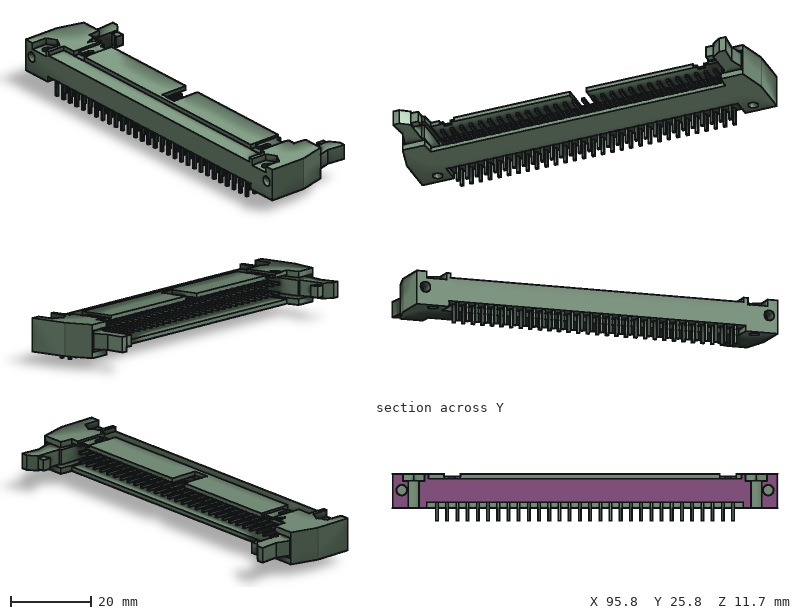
import cadquery as cq


length = 95.8
half_length = length / 2
height = 8.5
mid_height = height / 2
box_back = 13.8
wall = 1.15

ear_back = 17.2
ear_taper_start = 10.1
ear_taper = 1.9
ear_inner_top = 7.9
ear_inner_root = 8.1

column_count = 30
row_length = 73.7
pitch = row_length / (column_count - 1)
row_offset = pitch / 2
pin_size = 0.64
leg_length = 3.2
front_leg_y = 1.0
mating_pin_end = 13.6
pin_root_y = 5.75

cavity_floor = 7.5
cavity_end_inset = ear_inner_root
slot_end_inset = 2.4
slot_height = 5.5

step_half_length = 38.9
step_width = 4.9
step_depth = wall
relief_half_length = 39.4
relief_height = 1.4

key_width = 4.5
key_front = 6.2

groove_centre = pitch / 2
groove_span_columns = 27
groove_spacing = groove_span_columns * pitch
groove_width = 4.0
groove_depth = 0.6
groove_front_depth = 1.2
groove_step_y = 6.5
window_width = 1.4
window_back = 9.5
notch_width = 1.9
notch_length = 1.15

hole_diameter = 2.6
mount_inset = 5.3
mount_y = 2.7
pocket_width = 5.3
pocket_side_length = 4.4
pocket_length = 5.8
pocket_depth = 1.7
edge_hole_inset = 2.3
edge_hole_z = 4.5
edge_hole_depth = 4.8

mark_x = -row_length / 2
mark_width = 2.3
mark_back = 13.6
mark_length = 2.7
mark_depth = 0.3

latch_thickness = 3.9
latch_tip_y = 25.8
latch_bend_y = 20.8
latch_inner = 7.0
latch_tip_outer = 3.0
latch_tip_inner = 4.7
latch_bend_outer = 3.45
latch_root_outer = 2.4
latch_shoulder_inner = 7.7
latch_shoulder_y = 17.0
latch_root_y = 6.7
hook_height = 2.9
hook_reach = 9.0
hook_back = 24.0
hook_front = 22.1
hook_lip_front = 21.8
hook_lip_start = 8.4


def block(x_min, x_max, y_min, y_max, z_min, z_max):
    """Axis-aligned box between the given limits."""
    size = (x_max - x_min, y_max - y_min, z_max - z_min)
    return cq.Workplane("XY").box(*size, centered=False).translate((x_min, y_min, z_min))


def prism(points, z_min, z_max):
    """Upright prism on a closed outline."""
    return cq.Workplane("XY").workplane(offset=z_min).polyline(points).close().extrude(z_max - z_min)


def end_prism(points, z_min, z_max):
    """Left-end prism whose outline is given as (distance from the end, y)."""
    return prism([(inset - half_length, y) for inset, y in points], z_min, z_max)


def both_ends(left):
    """The left-end shape together with its mirror image at the right end."""
    return left.union(left.mirror("YZ"))


def housing():
    half_box = half_length - ear_inner_root
    box = block(-half_box, half_box, 0, box_back, 0, height)
    ear = end_prism(
        [
            (0, 0),
            (ear_inner_root, 0),
            (ear_inner_root, box_back),
            (ear_inner_top, ear_back),
            (ear_taper, ear_back),
            (0, ear_taper_start),
        ],
        0,
        height,
    )
    return box.union(both_ends(ear))


def cavity():
    half = half_length - cavity_end_inset
    return block(-half, half, cavity_floor, box_back, wall, height - wall)


def latch_slots():
    half = half_length - slot_end_inset
    z_min = mid_height - slot_height / 2
    return block(-half, half, cavity_floor, ear_back, z_min, z_min + slot_height)


def edge_steps():
    top = block(-step_half_length, step_half_length, 0, step_width, height - step_depth, height)
    under = block(-relief_half_length, relief_half_length, 0, step_width, 0, relief_height)
    return top.union(under)


def key_slot():
    return block(-key_width / 2, key_width / 2, key_front, box_back, height - wall, height)


def groove(x):
    """Cross groove with a round-ended window and a notch in the rear edge."""
    left = x - groove_width / 2
    right = x + groove_width / 2
    deep_floor = height - groove_front_depth
    radius = window_width / 2
    cut = block(left, right, step_width, box_back, height - groove_depth, height)
    cut = cut.union(block(left, right, step_width, groove_step_y, deep_floor, height))
    window = (
        cq.Workplane("XY")
        .workplane(offset=deep_floor)
        .moveTo(x - radius, groove_step_y)
        .lineTo(x + radius, groove_step_y)
        .lineTo(x + radius, window_back - radius)
        .threePointArc((x, window_back), (x - radius, window_back - radius))
        .close()
        .extrude(groove_front_depth)
    )
    half_notch = notch_width / 2
    notch = block(x - half_notch, x + half_notch, box_back - notch_length, box_back, height - wall, height)
    return cut.union(window).union(notch)


def mounting_cuts():
    x = mount_inset - half_length
    near = mount_inset - pocket_width / 2
    far = mount_inset + pocket_width / 2
    pocket = end_prism(
        [
            (near, 0),
            (far, 0),
            (far, pocket_side_length),
            (mount_inset, pocket_length),
            (near, pocket_side_length),
        ],
        height - pocket_depth,
        height,
    )
    radius = hole_diameter / 2
    through = cq.Workplane("XY").center(x, mount_y).circle(radius).extrude(height)
    edge_hole = (
        cq.Workplane("XZ")
        .center(edge_hole_inset - half_length, edge_hole_z)
        .circle(radius)
        .extrude(-edge_hole_depth)
    )
    return both_ends(pocket.union(through).union(edge_hole))


def pin_one_mark():
    half = mark_width / 2
    outline = [(mark_x - half, mark_back), (mark_x + half, mark_back), (mark_x, mark_back - mark_length)]
    return prism(outline, height - mark_depth, height)


def latches():
    arm = end_prism(
        [
            (latch_tip_outer, latch_tip_y),
            (latch_tip_inner, latch_tip_y),
            (latch_inner, hook_back),
            (latch_inner, latch_shoulder_y),
            (latch_shoulder_inner, latch_shoulder_y),
            (latch_shoulder_inner, latch_root_y),
            (latch_root_outer, latch_root_y),
            (latch_root_outer, ear_back),
            (latch_bend_outer, latch_bend_y),
        ],
        mid_height - latch_thickness / 2,
        mid_height + latch_thickness / 2,
    )
    hook = end_prism(
        [
            (latch_inner, hook_back),
            (hook_reach, hook_back),
            (hook_reach, hook_lip_front),
            (hook_lip_start, hook_lip_front),
            (hook_lip_start, hook_front),
            (latch_inner, hook_front),
        ],
        mid_height - hook_height / 2,
        mid_height + hook_height / 2,
    )
    return both_ends(arm.union(hook))


def pin_columns():
    """Solder legs below the housing and mating pins inside the cavity."""
    half = pin_size / 2
    pins = cq.Workplane("XY")
    for column in range(column_count):
        x = column * pitch - row_length / 2
        for leg_y in (front_leg_y, front_leg_y + pitch):
            pins = pins.add(block(x - half, x + half, leg_y - half, leg_y + half, -leg_length, mid_height))
        for row_z in (mid_height - row_offset, mid_height + row_offset):
            pins = pins.add(block(x - half, x + half, pin_root_y, mating_pin_end, row_z - half, row_z + half))
    return pins.vals()


body = housing().cut(cavity()).cut(latch_slots()).cut(edge_steps()).cut(key_slot())
for side in (-1, 1):
    body = body.cut(groove(groove_centre + side * groove_spacing / 2))
body = body.cut(mounting_cuts()).cut(pin_one_mark()).union(latches())
result = cq.Workplane(body.val().fuse(*pin_columns()))